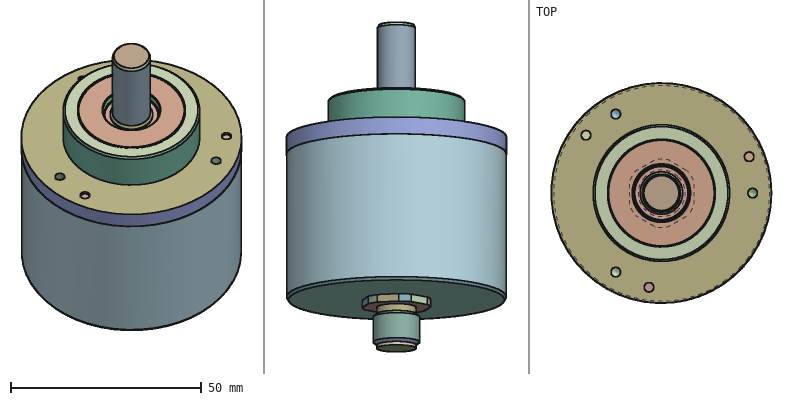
import cadquery as cq
import math

SHAFT_LENGTH = 20.0
PILOT_HEIGHT = 10.0
FLANGE_THICKNESS = 4.5
HOUSING_LENGTH = 39.0
NUT_THICKNESS = 2.0
CONNECTOR_LENGTH = 11.0

PILOT_TOP = PILOT_HEIGHT
SHAFT_TOP = PILOT_TOP + SHAFT_LENGTH
FLANGE_BOTTOM = -FLANGE_THICKNESS
HOUSING_BOTTOM = FLANGE_BOTTOM - HOUSING_LENGTH
NUT_BOTTOM = HOUSING_BOTTOM - NUT_THICKNESS

FLANGE_DIAMETER = 58.0
HOUSING_DIAMETER = 57.8
HOUSING_CHAMFER_WIDTH = 0.5
HOUSING_CHAMFER_HEIGHT = 0.8
PILOT_DIAMETER = 36.0
PILOT_CHAMFER = 0.5

GROOVE_OUTER_DIAMETER = 28.4
GROOVE_INNER_DIAMETER = 27.8
GROOVE_DEPTH = 0.3

RECESS_RIM_DIAMETER = 15.4
RECESS_FLOOR_DIAMETER = 14.0
RECESS_DEPTH = 1.8
RECESS_BEVEL = 0.2

SHAFT_DIAMETER = 10.0
SHAFT_CHAMFER_WIDTH = 0.4
SHAFT_CHAMFER_HEIGHT = 0.8
COLLAR_DIAMETER = 11.2
COLLAR_HEIGHT = 0.9
COLLAR_TAPER_HEIGHT = 0.7

HOLES_PER_SET = 3
DRILLED_HOLE_DIAMETER = 2.5
DRILLED_CIRCLE_RADIUS = 24.0
DRILLED_START_ANGLE = 0.0
DRILLED_DEPTH = 8.0
DRILL_POINT_ANGLE = 118.0
FLAT_HOLE_DIAMETER = 2.5
FLAT_CIRCLE_RADIUS = 25.0
FLAT_START_ANGLE = 22.5
FLAT_HOLE_DEPTH = 0.7

NUT_SIDES = 6
NUT_ACROSS_FLATS = 17.0
NUT_CORNER_DIAMETER = 18.0
NECK_DIAMETER = 10.3
NECK_LENGTH = 1.8
THREAD_DIAMETER = 12.3
CONE_HEIGHT = 0.8
TIP_LENGTH = 0.9


def cylinder(diameter, bottom, top):
    return cq.Workplane("XY").workplane(offset=bottom).circle(diameter / 2).extrude(top - bottom)


def revolve_about_z(profile):
    """Solid of revolution from (radius, height) points."""
    return cq.Workplane("XZ").polyline(profile).close().revolve(360, (0, 0), (0, 1))


def make_housing():
    housing = cylinder(HOUSING_DIAMETER, HOUSING_BOTTOM, FLANGE_BOTTOM)
    housing = housing.faces("<Z").chamfer(HOUSING_CHAMFER_HEIGHT, HOUSING_CHAMFER_WIDTH)
    flange = cylinder(FLANGE_DIAMETER, FLANGE_BOTTOM, 0)
    pilot = cylinder(PILOT_DIAMETER, 0, PILOT_TOP).faces(">Z").chamfer(PILOT_CHAMFER)
    return housing.union(flange).union(pilot)


def make_cover_groove():
    groove_bottom = PILOT_TOP - GROOVE_DEPTH
    outer = cylinder(GROOVE_OUTER_DIAMETER, groove_bottom, PILOT_TOP)
    return outer.cut(cylinder(GROOVE_INNER_DIAMETER, groove_bottom, PILOT_TOP))


def make_shaft_recess():
    rim_radius = RECESS_RIM_DIAMETER / 2
    floor_radius = RECESS_FLOOR_DIAMETER / 2
    floor = PILOT_TOP - RECESS_DEPTH
    return revolve_about_z([
        (0, PILOT_TOP),
        (rim_radius, PILOT_TOP),
        (rim_radius - RECESS_BEVEL, PILOT_TOP - RECESS_BEVEL),
        (floor_radius + RECESS_BEVEL, floor + RECESS_BEVEL),
        (floor_radius, floor),
        (0, floor),
    ])


def make_shaft():
    root = PILOT_TOP - RECESS_DEPTH
    collar_top = root + COLLAR_HEIGHT
    shaft_radius = SHAFT_DIAMETER / 2
    collar_radius = COLLAR_DIAMETER / 2
    return revolve_about_z([
        (0, root),
        (collar_radius, root),
        (collar_radius, collar_top - COLLAR_TAPER_HEIGHT),
        (shaft_radius, collar_top),
        (shaft_radius, SHAFT_TOP - SHAFT_CHAMFER_HEIGHT),
        (shaft_radius - SHAFT_CHAMFER_WIDTH, SHAFT_TOP),
        (0, SHAFT_TOP),
    ])


def hole_pattern(hole, circle_radius, start_angle):
    """Copies of a hole on the Z axis, equally spaced around a circle."""
    pattern = cq.Workplane("XY")
    for index in range(HOLES_PER_SET):
        angle = start_angle + index * 360 / HOLES_PER_SET
        pattern = pattern.add(hole.translate((circle_radius, 0, 0)).rotate((0, 0, 0), (0, 0, 1), angle))
    return pattern.combine()


def make_drilled_hole():
    radius = DRILLED_HOLE_DIAMETER / 2
    point_height = radius / math.tan(math.radians(DRILL_POINT_ANGLE / 2))
    profile = [(0, 0), (radius, 0), (radius, -DRILLED_DEPTH), (0, -DRILLED_DEPTH - point_height)]
    return revolve_about_z(profile)


def make_nut():
    half_side_angle = 180 / NUT_SIDES
    hexagon_diameter = NUT_ACROSS_FLATS / math.cos(math.radians(half_side_angle))
    nut = cq.Workplane("XY").workplane(offset=NUT_BOTTOM).polygon(NUT_SIDES, hexagon_diameter)
    nut = nut.extrude(NUT_THICKNESS).rotate((0, 0, 0), (0, 0, 1), half_side_angle)
    return nut.intersect(cylinder(NUT_CORNER_DIAMETER, NUT_BOTTOM, HOUSING_BOTTOM))


def make_connector():
    neck_radius = NECK_DIAMETER / 2
    thread_radius = THREAD_DIAMETER / 2
    end = NUT_BOTTOM - CONNECTOR_LENGTH
    cone_top = NUT_BOTTOM - NECK_LENGTH
    tip_top = end + TIP_LENGTH
    profile = [
        (0, NUT_BOTTOM),
        (neck_radius, NUT_BOTTOM),
        (neck_radius, cone_top),
        (thread_radius, cone_top - CONE_HEIGHT),
        (thread_radius, tip_top + CONE_HEIGHT),
        (neck_radius, tip_top),
        (neck_radius, end),
        (0, end),
    ]
    return revolve_about_z(profile)


drilled_holes = hole_pattern(make_drilled_hole(), DRILLED_CIRCLE_RADIUS, DRILLED_START_ANGLE)
flat_hole = cylinder(FLAT_HOLE_DIAMETER, -FLAT_HOLE_DEPTH, 0)
flat_holes = hole_pattern(flat_hole, FLAT_CIRCLE_RADIUS, FLAT_START_ANGLE)

body = make_housing().cut(make_cover_groove()).cut(make_shaft_recess())
body = body.cut(drilled_holes).cut(flat_holes)
result = body.union(make_shaft()).union(make_nut()).union(make_connector())